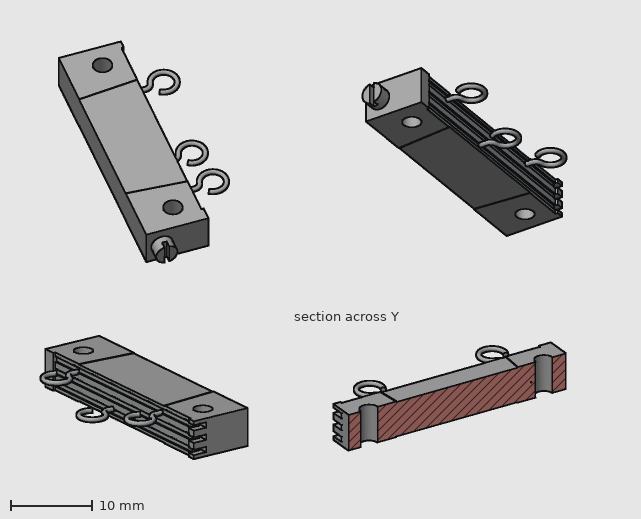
import cadquery as cq
import math

LENGTH = 31.6
HEIGHT = 4.98
MID_Z = HEIGHT / 2
REAR_Y = 7.85
EAR_HEIGHT = 0.3
EAR_Y = REAR_Y + EAR_HEIGHT
LEFT_EAR_WIDTH = 1.03
RIGHT_EAR_WIDTH = 1.75
RIGHT_EAR_X = LENGTH - RIGHT_EAR_WIDTH

RECESS_DEPTH = 0.08
RECESS_FRONT_LEFT = 7.37
RECESS_FRONT_RIGHT = 24.18
RECESS_TAPER = 0.67

HOLE_DIAMETER = 2.4
HOLE_PITCH = 25.4
FIRST_HOLE_X = 3.0
HOLE_Y = 4.65

GROOVE_HEIGHT = 0.7
GROOVE_PITCH = 1.61
GROOVE_FLOOR_Y = 7.65
POCKET_FLOOR_Y = 6.27
POCKET_DEPTH = LEFT_EAR_WIDTH
STRIP_WIDTH = 0.32
STRIP_EXTRA_DEPTH = 0.3
STRIP_EDGE_RADIUS = 0.25

SCREW_DIAMETER = 2.8
SCREW_LENGTH = 1.8
SCREW_Y = 2.04
SCREW_SLOT_WIDTH = 0.6
SCREW_SLOT_DEPTH = 0.85

WIRE_DIAMETER = 0.68
RING_RADIUS = 1.67
RING_TOP_Y = 13.15
RING_Y = RING_TOP_Y - RING_RADIUS - WIRE_DIAMETER / 2
SHANK_OFFSET = 0.37
SHANK_EMBED_DEPTH = 0.7
SHANK_START_Y = GROOVE_FLOOR_Y - SHANK_EMBED_DEPTH
RING_START_ANGLE = 258
RING_END_ANGLE = -36
PIN_GRID = 2.54
HOOK_LEVEL_OFFSET = PIN_GRID / 2
FIRST_RING_X = 7.18
MIDDLE_RING_X = FIRST_RING_X + 4 * PIN_GRID
LAST_RING_X = MIDDLE_RING_X + 3 * PIN_GRID
UPPER_LEVEL_Z = MID_Z + HOOK_LEVEL_OFFSET
LOWER_LEVEL_Z = MID_Z - HOOK_LEVEL_OFFSET
HOOKS = [
    (FIRST_RING_X, UPPER_LEVEL_Z),
    (MIDDLE_RING_X, LOWER_LEVEL_Z),
    (LAST_RING_X, UPPER_LEVEL_Z),
]


def box_between(x_range, y_range, z_range):
    """Axis-aligned box given by its limits along each axis."""
    size = [end - start for start, end in (x_range, y_range, z_range)]
    corner = (x_range[0], y_range[0], z_range[0])
    return cq.Workplane("XY").box(*size, centered=False).translate(corner)


def make_housing():
    """Block with a low ear at each end of its rear face."""
    outline = [
        (0, 0),
        (LENGTH, 0),
        (LENGTH, EAR_Y),
        (RIGHT_EAR_X, EAR_Y),
        (RIGHT_EAR_X, REAR_Y),
        (LEFT_EAR_WIDTH, REAR_Y),
        (LEFT_EAR_WIDTH, EAR_Y),
        (0, EAR_Y),
    ]
    return cq.Workplane("XY").polyline(outline).close().extrude(HEIGHT)


def make_face_recess(bottom_z):
    """Tapered slab that lowers the middle of an upper or lower face."""
    outline = [
        (RECESS_FRONT_LEFT, 0),
        (RECESS_FRONT_RIGHT, 0),
        (RECESS_FRONT_RIGHT + RECESS_TAPER, REAR_Y),
        (RECESS_FRONT_LEFT - RECESS_TAPER, REAR_Y),
    ]
    slab = cq.Workplane("XY", origin=(0, 0, bottom_z)).polyline(outline).close()
    return slab.extrude(RECESS_DEPTH)


def make_mounting_holes():
    """Pair of holes through the full height."""
    centres = [(FIRST_HOLE_X, HOLE_Y), (FIRST_HOLE_X + HOLE_PITCH, HOLE_Y)]
    return cq.Workplane("XY").pushPoints(centres).circle(HOLE_DIAMETER / 2).extrude(HEIGHT)


def make_groove(z):
    """Rear groove, its end pocket and the deeper strip with a rounded end wall."""
    z_range = (z - GROOVE_HEIGHT / 2, z + GROOVE_HEIGHT / 2)
    strip_y = (POCKET_FLOOR_Y, POCKET_FLOOR_Y + STRIP_WIDTH)
    strip_end_x = POCKET_DEPTH + STRIP_EXTRA_DEPTH
    groove = box_between((0, RIGHT_EAR_X), (GROOVE_FLOOR_Y, EAR_Y), z_range)
    pocket = box_between((0, POCKET_DEPTH), (POCKET_FLOOR_Y, EAR_Y), z_range)
    strip = box_between((0, strip_end_x + STRIP_EDGE_RADIUS), strip_y, z_range)
    end_wall = box_between((strip_end_x, strip_end_x + 2 * STRIP_EDGE_RADIUS), strip_y, z_range)
    end_wall = end_wall.faces("<X").edges("|Y").fillet(STRIP_EDGE_RADIUS)
    return groove.union(pocket).union(strip.cut(end_wall))


def make_screw():
    """Slotted screw head standing out of the right end."""
    end_x = LENGTH + SCREW_LENGTH
    head = cq.Workplane("YZ", origin=(LENGTH, SCREW_Y, MID_Z))
    head = head.circle(SCREW_DIAMETER / 2).extrude(SCREW_LENGTH)
    slot = box_between(
        (end_x - SCREW_SLOT_DEPTH, end_x),
        (SCREW_Y - SCREW_SLOT_WIDTH / 2, SCREW_Y + SCREW_SLOT_WIDTH / 2),
        (0, HEIGHT),
    )
    return head.cut(slot)


def polar(centre, radius, degrees):
    """Point at an angle on a circle."""
    angle = math.radians(degrees)
    return (centre[0] + radius * math.cos(angle), centre[1] + radius * math.sin(angle))


def make_hook(ring_x, z):
    """Round wire swept up the shank, round the reverse bend and along the ring."""
    ring_centre = (ring_x, RING_Y)
    shank_x = ring_x + SHANK_OFFSET
    start_cosine = math.cos(math.radians(RING_START_ANGLE))
    bend_radius = (SHANK_OFFSET - RING_RADIUS * start_cosine) / (1 + start_cosine)
    bend_centre = polar(ring_centre, RING_RADIUS + bend_radius, RING_START_ANGLE)
    bend_end_angle = RING_START_ANGLE - 180
    ring_middle_angle = (RING_START_ANGLE + RING_END_ANGLE) / 2
    path = (
        cq.Workplane("XY", origin=(0, 0, z))
        .moveTo(shank_x, SHANK_START_Y)
        .lineTo(shank_x, bend_centre[1])
        .threePointArc(
            polar(bend_centre, bend_radius, bend_end_angle / 2),
            polar(bend_centre, bend_radius, bend_end_angle),
        )
        .threePointArc(
            polar(ring_centre, RING_RADIUS, ring_middle_angle),
            polar(ring_centre, RING_RADIUS, RING_END_ANGLE),
        )
    )
    profile = cq.Workplane("XZ", origin=(shank_x, SHANK_START_Y, z))
    return profile.circle(WIRE_DIAMETER / 2).sweep(path)


result = make_housing()
for recess_z in (0, HEIGHT - RECESS_DEPTH):
    result = result.cut(make_face_recess(recess_z))
result = result.cut(make_mounting_holes())
for level in (-1, 0, 1):
    result = result.cut(make_groove(MID_Z + level * GROOVE_PITCH))
result = result.union(make_screw())
for hook_x, hook_z in HOOKS:
    result = result.union(make_hook(hook_x, hook_z))